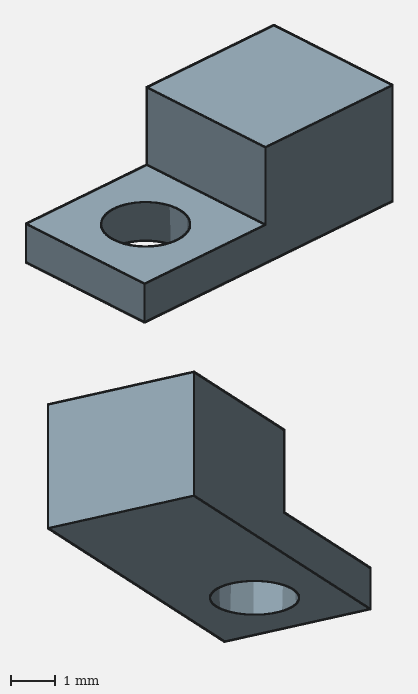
import cadquery as cq

width = 3.8
length = 7.8
height = 3.0

tab_length = width
tab_thickness = height / 3
hole_diameter = 2.0

body = (
    cq.Workplane("YZ")
    .moveTo(0, 0)
    .lineTo(length, 0)
    .lineTo(length, height)
    .lineTo(tab_length, height)
    .lineTo(tab_length, tab_thickness)
    .lineTo(0, tab_thickness)
    .close()
    .extrude(width)
)

hole = (
    cq.Workplane("XY")
    .center(width / 2, tab_length / 2)
    .circle(hole_diameter / 2)
    .extrude(tab_thickness)
)

result = body.cut(hole)